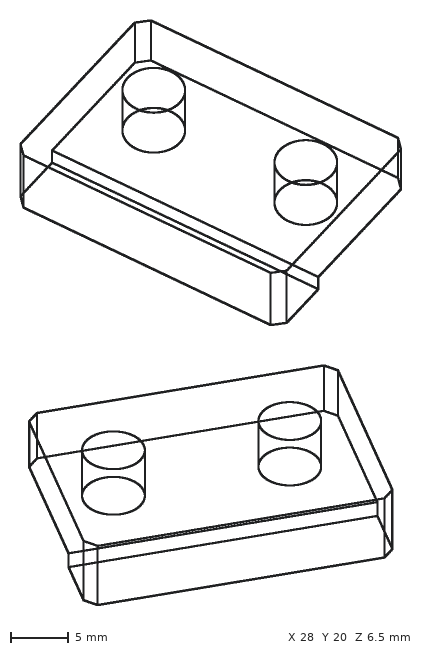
import cadquery as cq

length = 28
width = 20.0
height = 6.5
corner_chamfer = 1.0

lip_width = 6.0
lip_drop = 1.5

hole_diameter = 5.5
hole_spacing = 16.0
hole_from_back = 7


def chamfered_block():
    block = cq.Workplane("XY").box(length, width, height, centered=(True, True, False))
    return block.edges("|Z").chamfer(corner_chamfer)


def underside_relief():
    """Material removed from below, behind the lip."""
    relief_width = width - lip_width
    return (
        cq.Workplane("XY")
        .box(length, relief_width, lip_drop, centered=(True, False, False))
        .translate((0, lip_width - width / 2, 0))
    )


def mounting_holes():
    hole_y = width / 2 - hole_from_back
    return (
        cq.Workplane("XY")
        .pushPoints([(side * hole_spacing / 2, hole_y) for side in (-1, 1)])
        .circle(hole_diameter / 2)
        .extrude(height)
    )


result = chamfered_block().cut(underside_relief()).cut(mounting_holes())